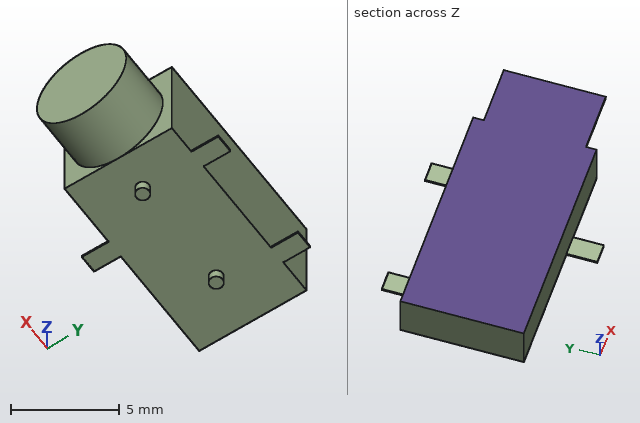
import cadquery as cq

total_length = 14.0
span_across_tabs = 9.0

body_length = 11.0
body_width = 6.0
body_height = 5.0

barrel_diameter = body_height
barrel_length = total_length - body_length

pin_diameter = 0.7
pin_length = 0.5
pin_positions = [3.0, 9.0]

tab_width = 1.0
tab_thickness = 0.1
tab_length = (span_across_tabs - body_width) / 2
back_tab_positions = [2.4, 8.9]
front_tab_position = 6.9


def make_tab(x, side):
    """Tab centred at x, sticking out of the +Y (side=1) or -Y (side=-1) wall."""
    y = side * (body_width + tab_length) / 2
    return (
        cq.Workplane("XY")
        .center(x, y)
        .rect(tab_width, tab_length)
        .extrude(tab_thickness)
    )


body = cq.Workplane("XY").box(
    body_length, body_width, body_height, centered=(False, True, False)
)

barrel = (
    cq.Workplane("YZ", origin=(body_length, 0, body_height / 2))
    .circle(barrel_diameter / 2)
    .extrude(barrel_length)
)

pins = (
    cq.Workplane("XY")
    .pushPoints([(x, 0) for x in pin_positions])
    .circle(pin_diameter / 2)
    .extrude(-pin_length)
)

result = body.union(barrel).union(pins)
for tab_x in back_tab_positions:
    result = result.union(make_tab(tab_x, 1))
result = result.union(make_tab(front_tab_position, -1))